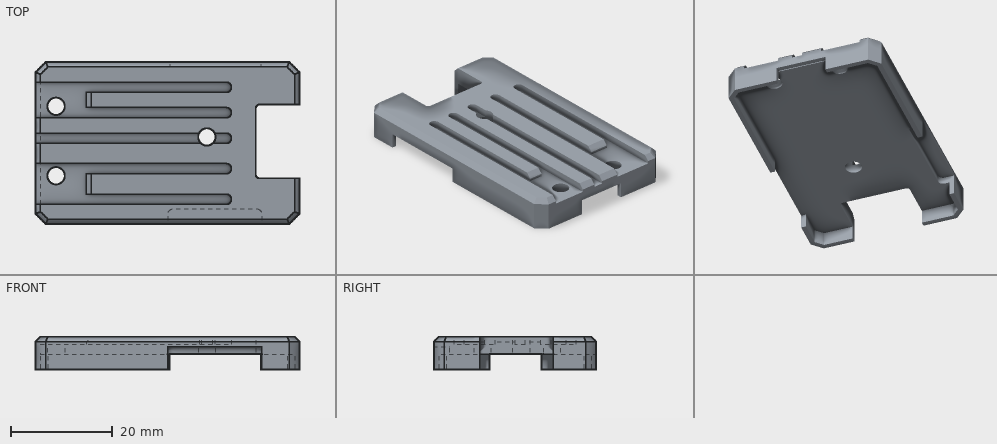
import cadquery as cq
import math

length = 51.9
width = 31.85
height = 6.5

wall = 1.0
ceiling_height = 3.0
corner_cut = 2.0
top_chamfer = 1.0

groove_width = 2.0
groove_depth = 1.5
groove_end = 38.5
groove_lines = [-11.05, -5.05, 0.95, 5.95, 10.95]
recess_length = 10.0
recess_pairs = [(groove_lines[0], groove_lines[1]), (groove_lines[3], groove_lines[4])]

hole_diameter = 3.35
hole_centres = [(4.05, -6.45), (4.05, 7.2), (33.65, 1.2)]

end_notch_start = 43.3
end_notch_sides = (-6.9, 7.5)
end_notch_radius = 0.6

cable_sides = (-5.0, 5.2)
cable_height = 3.15
front_opening_ends = (25.95, 44.45)
front_opening_height = 4.5
front_opening_depth = 3.0
front_opening_radius = 1.05
back_opening_ends = (26.35, 44.3)


def block(x_range, y_range, z_range):
    """Box spanning the given ranges."""
    size = [high - low for low, high in (x_range, y_range, z_range)]
    return cq.Workplane("XY").box(*size, centered=False).translate((x_range[0], y_range[0], z_range[0]))


def cut_corner_block(inset, corner, block_height):
    """Block inside the outline by the inset, with its upright corners cut at 45 degrees."""
    half_width = width / 2 - inset
    blank = block((inset, length - inset), (-half_width, half_width), (0, block_height))
    return blank.edges("|Z").chamfer(corner)


def shell():
    outer = cut_corner_block(0, corner_cut, height).faces(">Z").edges().chamfer(top_chamfer)
    inner_corner = corner_cut - wall * (2 - math.sqrt(2))
    return outer.cut(cut_corner_block(wall, inner_corner, ceiling_height))


def groove(y):
    """Groove open at the -X end, with a fully rounded +X end."""
    radius = groove_width / 2
    return (
        cq.Workplane("XY", origin=(0, y, height - groove_depth))
        .moveTo(0, -radius)
        .lineTo(groove_end - radius, -radius)
        .threePointArc((groove_end, 0), (groove_end - radius, radius))
        .lineTo(0, radius)
        .close()
        .extrude(groove_depth)
    )


def recess(first_line, last_line):
    """Recess joining two grooves; its inner end slopes back at the top edge."""
    floor = height - groove_depth
    return (
        cq.Workplane("XZ", origin=(0, last_line, 0))
        .moveTo(0, floor)
        .lineTo(recess_length, floor)
        .lineTo(recess_length, height - top_chamfer)
        .lineTo(recess_length + top_chamfer, height)
        .lineTo(0, height)
        .close()
        .extrude(last_line - first_line)
    )


def end_notch():
    notch = block((end_notch_start, length), end_notch_sides, (0, height))
    return notch.edges("|Z and <X").fillet(end_notch_radius)


def cable_opening():
    return block((0, wall), cable_sides, (0, cable_height))


def front_opening():
    y_range = (-width / 2, -width / 2 + front_opening_depth)
    opening = block(front_opening_ends, y_range, (0, front_opening_height))
    return opening.edges("|Z and >Y").fillet(front_opening_radius)


def back_opening():
    return block(back_opening_ends, (width / 2 - wall, width / 2), (0, ceiling_height))


result = shell()
for line in groove_lines:
    result = result.cut(groove(line))
for pair in recess_pairs:
    result = result.cut(recess(*pair))
for cutter in (end_notch(), cable_opening(), front_opening(), back_opening()):
    result = result.cut(cutter)
holes = cq.Workplane("XY").pushPoints(hole_centres).circle(hole_diameter / 2).extrude(height)
result = result.cut(holes)